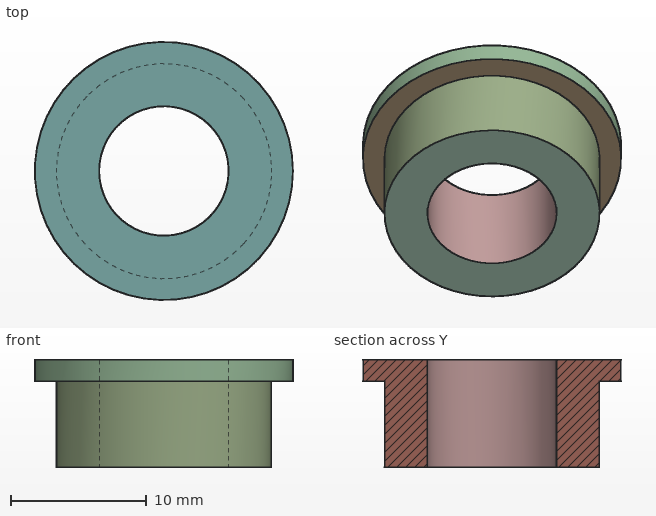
import cadquery as cq

flange_diameter = 19.05
sleeve_diameter = 15.87
bore_diameter = 9.52
total_height = 7.95
flange_thickness = 1.6
sleeve_height = total_height - flange_thickness

sleeve = cq.Workplane("XY").circle(sleeve_diameter / 2).extrude(sleeve_height)
flanged_sleeve = (
    sleeve.faces(">Z").workplane()
    .circle(flange_diameter / 2)
    .extrude(flange_thickness)
)

result = flanged_sleeve.faces(">Z").workplane().hole(bore_diameter)